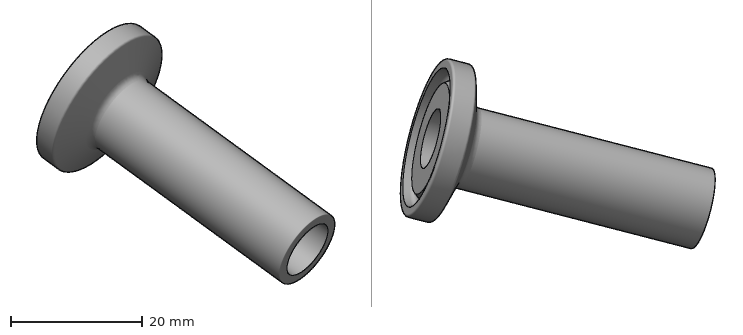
import cadquery as cq
import math

length = 44.45
rim_radius = 25.0 / 2
tube_radius = 12.7 / 2
bore_radius = 9.4 / 2

rim_width = 3.7
rim_fillet = 0.4
back_angle = math.radians(20)
neck_fillet = 1.15

groove_outer_radius = 21.9 / 2
groove_inner_radius = 8.75
groove_wall_depth = 1.2
groove_bottom_radius = 0.8
hub_recess = 0.65

end_fillet = 0.11


def make_body():
    """Revolve the flange, its conical back and the tube, then round the edges."""
    neck_x = rim_width + (rim_radius - tube_radius) * math.tan(back_angle)
    body = (
        cq.Workplane("XY")
        .moveTo(0, 0)
        .lineTo(0, rim_radius)
        .lineTo(rim_width, rim_radius)
        .lineTo(neck_x, tube_radius)
        .lineTo(length, tube_radius)
        .lineTo(length, 0)
        .close()
        .revolve(360, (0, 0, 0), (1, 0, 0))
    )
    rim_edges = cq.selectors.RadiusNthSelector(-1)
    body = body.edges("%CIRCLE").edges(rim_edges).fillet(rim_fillet)
    neck_edge = cq.selectors.NearestToPointSelector((neck_x, 0, 0))
    body = body.edges("%CIRCLE").edges(neck_edge).fillet(neck_fillet)
    return body.faces(">X").edges().fillet(end_fillet)


def make_face_recess():
    """Recess down to the hub face, ringed by the groove with its round bottom and sloping inner wall."""
    center_x = groove_wall_depth
    center_r = groove_outer_radius - groove_bottom_radius
    offset_x = center_x - hub_recess
    offset_r = center_r - groove_inner_radius
    slope = math.atan2(offset_r, offset_x) - math.asin(
        groove_bottom_radius / math.hypot(offset_x, offset_r)
    )
    tangent_point = (
        center_x + groove_bottom_radius * math.sin(slope),
        center_r - groove_bottom_radius * math.cos(slope),
    )
    return (
        cq.Workplane("XY")
        .moveTo(0, 0)
        .lineTo(hub_recess, 0)
        .lineTo(hub_recess, groove_inner_radius)
        .lineTo(*tangent_point)
        .threePointArc(
            (center_x + groove_bottom_radius, center_r),
            (center_x, groove_outer_radius),
        )
        .lineTo(0, groove_outer_radius)
        .close()
        .revolve(360, (0, 0, 0), (1, 0, 0))
    )


bore = cq.Workplane("YZ").circle(bore_radius).extrude(length)

result = make_body().cut(make_face_recess()).cut(bore)